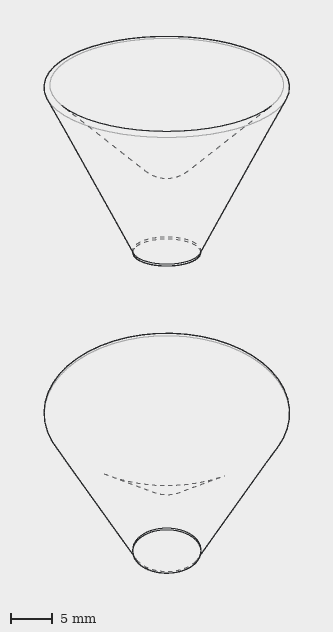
import cadquery as cq
import math

rim_diameter = 29.4
height = 21.98
rim_round = 0.42
foot_radius = 4.08
foot_height = 0.27
bowl_radius = 4.1
cavity_angle = math.radians(46.2)

rim_r = rim_diameter / 2 - rim_round
rim_z = height - rim_round


def rim_point(angle):
    """Point on the rim round, at an angle measured up from the outward radial direction."""
    return (rim_r + rim_round * math.cos(angle), rim_z + rim_round * math.sin(angle))


def outer_tangent_angle():
    """Rim angle where the straight outer wall, rising from the foot, meets the round tangentially."""
    run = rim_r - foot_radius
    rise = rim_z - foot_height
    wall_tilt = math.atan2(run, rise)
    return -(wall_tilt - math.asin(rim_round / math.hypot(run, rise)))


def half_profile():
    """Closed half section: foot, outer wall, rim round, cavity cone and spherical bowl."""
    outer_rim = rim_point(outer_tangent_angle())
    inner_rim = rim_point(math.pi - cavity_angle)

    bowl_edge_r = bowl_radius * math.cos(cavity_angle)
    bowl_edge_z = inner_rim[1] - (inner_rim[0] - bowl_edge_r) / math.tan(cavity_angle)
    bowl_centre_z = bowl_edge_z + bowl_radius * math.sin(cavity_angle)
    bowl_mid_angle = (math.pi / 2 - cavity_angle) / 2
    bowl_mid = (
        bowl_radius * math.sin(bowl_mid_angle),
        bowl_centre_z - bowl_radius * math.cos(bowl_mid_angle),
    )

    return (
        cq.Workplane("XZ")
        .lineTo(foot_radius, 0)
        .lineTo(foot_radius, foot_height)
        .lineTo(*outer_rim)
        .threePointArc(rim_point(math.pi / 2), inner_rim)
        .lineTo(bowl_edge_r, bowl_edge_z)
        .threePointArc(bowl_mid, (0, bowl_centre_z - bowl_radius))
        .close()
    )


result = half_profile().revolve(360, (0, 0, 0), (0, 1, 0))